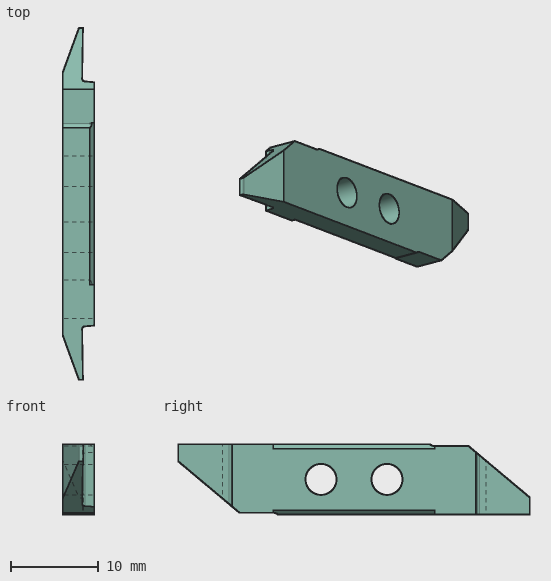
import cadquery as cq
import math

thickness = 3.6
length = 40.0
height = 8.0
half_length = length / 2
half_height = height / 2

tip_height = 1.94
rake_angle = 40.0
relief_depth = 0.2
relief_start = 9.17
relief_radius = 0.8

flank_start = 14.95
flank_angle = 20.0
tip_back = 2.32
tip_corner_radius = 0.1
root_back = 2.22
shoulder = 13.96
shoulder_lean = 0.12
root_radius = 0.3

bevel_size = 0.5
bevel_half_length = 9.2

hole_diameter = 3.5
hole_spacing = 7.5


def side_body():
    """Outline in the YZ plane, extruded through the thickness."""
    relief_top = half_height - relief_depth
    tip_top = tip_height - half_height
    rake_run = (relief_top - tip_top) / math.tan(math.radians(rake_angle))
    outline = cq.Workplane("YZ").moveTo(half_length, -half_height)
    for turn in (1, -1):
        outline = (
            outline.lineTo(turn * half_length, turn * tip_top)
            .lineTo(turn * (half_length - rake_run), turn * relief_top)
            .lineTo(turn * relief_start, turn * relief_top)
            .threePointArc(relief_arc_point(0.5, turn), relief_arc_point(1, turn))
            .lineTo(-turn * half_length, turn * half_height)
        )
    return outline.close().extrude(thickness)


def relief_arc_point(fraction, turn):
    """Point on the arc that rises, tangent to the relieved land, up to the full height."""
    sweep = fraction * math.acos(1 - relief_depth / relief_radius)
    y = relief_start - relief_radius * math.sin(sweep)
    z = half_height - relief_depth + relief_radius * (1 - math.cos(sweep))
    return (turn * y, turn * z)


def tip_plan():
    """Outline in the XY plane with both ends thinned, extruded through the height."""
    flank_depth = (half_length - flank_start) * math.tan(math.radians(flank_angle))
    upper = [
        (thickness, shoulder - shoulder_lean),
        (root_back, shoulder),
        (tip_back, half_length),
        (flank_depth, half_length),
        (0, flank_start),
    ]
    lower = [(x, -y) for x, y in reversed(upper)]
    plan = cq.Workplane("XY").polyline(upper + lower).close().extrude(height)
    plan = plan.translate((0, 0, -half_height))
    for end in (1, -1):
        plan = round_edge(plan, root_back, end * shoulder, root_radius)
        plan = round_edge(plan, flank_depth, end * half_length, tip_corner_radius)
    return plan


def round_edge(body, x, y, radius):
    """Fillet the upright edge that passes through (x, y)."""
    return body.edges(cq.selectors.NearestToPointSelector((x, y, 0))).fillet(radius)


def back_bevel(side):
    """Triangular bar that bevels the back edge at the top (side = 1) or bottom (side = -1)."""
    edge = side * half_height
    corners = [
        (thickness, edge),
        (thickness - bevel_size, edge),
        (thickness, edge - side * bevel_size),
    ]
    return cq.Workplane("XZ").polyline(corners).close().extrude(bevel_half_length, both=True)


def mounting_holes():
    """Pair of through holes along the thickness, spaced evenly about the middle."""
    centers = [(-hole_spacing / 2, 0), (hole_spacing / 2, 0)]
    return cq.Workplane("YZ").pushPoints(centers).circle(hole_diameter / 2).extrude(thickness)


result = side_body().intersect(tip_plan())
for side in (1, -1):
    result = result.cut(back_bevel(side))
result = result.cut(mounting_holes())